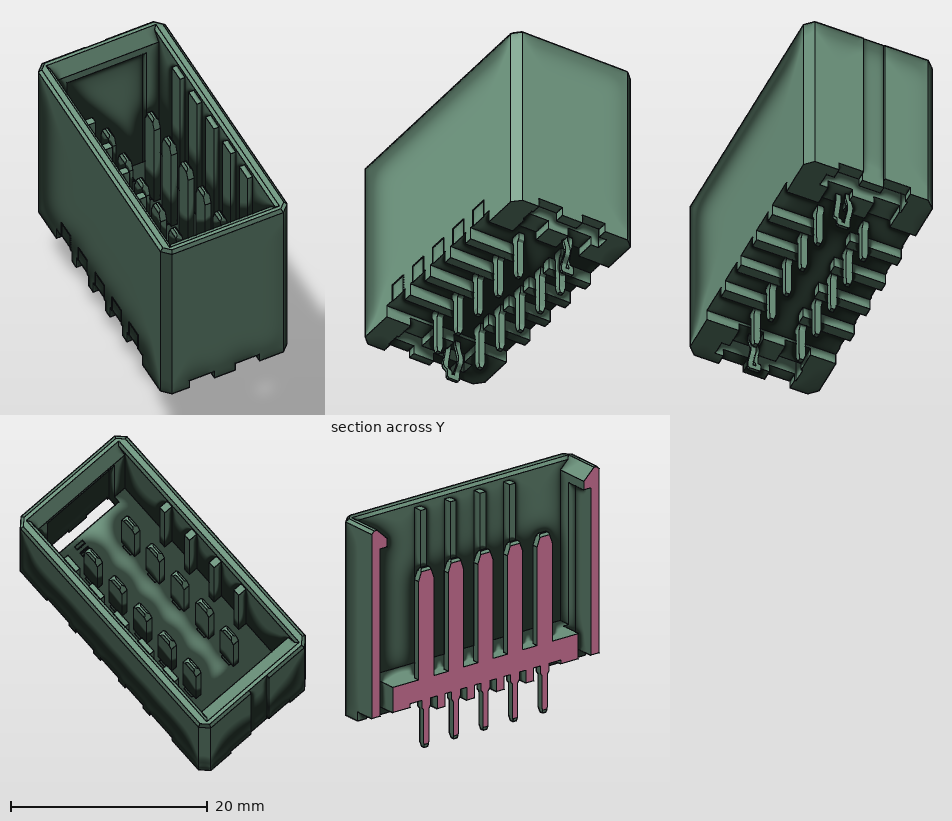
import cadquery as cq

LENGTH = 29.25
WIDTH = 14.45
HEIGHT = 21.55
CORNER_CHAMFER = 0.88
RIM_CHAMFER = 0.32

CAVITY_LENGTH = 25.2
CAVITY_WIDTH = 11.87
FLOOR_TOP = 3.8
MOUTH_LENGTH = 27.8
MOUTH_WIDTH = 12.51
END_TAPER_DEPTH = 1.23
SIDE_TAPER_DEPTH = 0.32

END_SLOT_WIDTH = 9.05
END_SLOT_INNER_X = 11.93
END_SLOT_OUTER_X = 13.48
END_SLOT_TOP = 19.35

GROOVE_Y_MIN = -1.52
GROOVE_Y_MAX = 0.88
GROOVE_DEPTH = RIM_CHAMFER

PITCH = 3.8
CONTACT_COUNT = 5
CONTACT_XS = [PITCH * (i - (CONTACT_COUNT - 1) / 2) for i in range(CONTACT_COUNT)]
GAP_XS = [x + PITCH / 2 for x in CONTACT_XS[:-1]]
ROW_YS = (-2.35, 2.72)

RELIEF_HEIGHT = 1.4
RELIEF_LENGTH = 19.3
FOOT_LENGTH = 1.02
FOOT_GAP_Y_MIN = -1.45
FOOT_GAP_Y_MAX = 2.22
END_NOTCH_HEIGHT = 1.0
END_NOTCH_Y_MIN = -4.35
END_NOTCH_Y_MAX = 3.63

PAD_LENGTH = 2.05
PAD_TOP = 3.4
PAD_DEPTH = 0.1

RIB_TOP = 20.82
BACK_RIB_LENGTH = 1.85
BACK_RIB_DEPTH = 0.58
FRONT_RIB_LENGTH = 0.75
FRONT_RIB_DEPTH = 1.0

BLADE_WIDTH = 2.02
BLADE_THICKNESS = 0.7
BLADE_TOP = 15.85
BLADE_TAPER_X = 0.47
BLADE_TAPER_HEIGHT = 1.25
BLADE_TIP_RADIUS = 0.23
BLADE_FACE_CHAMFER_Y = 0.23
BLADE_FACE_CHAMFER_HEIGHT = 0.35
TAIL_THICKNESS = 0.7
TAIL_WIDTH = 0.73
SHOULDER_WIDTH = 1.2
SHOULDER_BOTTOM = 0.65
SHOULDER_TAPER_END = 0.32
SHOULDER_RADIUS = 0.3
TIP_START = -3.27
TAIL_BOTTOM = -3.85
TIP_SIZE = 0.45
WELL_LENGTH = 1.2
WELL_WIDTH = 1.15
WELL_DEPTH = 0.15

CLIP_X = 10.8
CLIP_Y_MIN = 0.73
CLIP_Y_MAX = 2.15
CLIP_Y_MIDDLE = (CLIP_Y_MIN + CLIP_Y_MAX) / 2
CLIP_SLIT = 0.3
CLIP_SLIT_BOTTOM = -3.22
CLIP_FOOT_CHAMFER = 0.18
CLIP_STEM_THICKNESS = 0.3
CLIP_LEG_INNER_X = 0.05
CLIP_LEG_OUTER_X = 0.35
CLIP_BOW_INNER_X = 0.7
CLIP_BOW_OUTER_X = 1.02
CLIP_BOW_Z = -1.78
CLIP_BOW_START = 0.3
CLIP_STEM_TOP_INNER = -2.87
CLIP_STEM_TOP_OUTER = -2.95
BOW_INNER_RADIUS = 0.95
BOW_OUTER_RADIUS = BOW_INNER_RADIUS + CLIP_STEM_THICKNESS
END_BEND_INNER_RADIUS = 0.65
END_BEND_OUTER_RADIUS = END_BEND_INNER_RADIUS + CLIP_STEM_THICKNESS
TANG_Y_MIN = 0.88
TANG_Y_MAX = 1.93
TANG_OUTER_X = (-0.58, -0.15)
TANG_INNER_X = (0.23, 0.8)
INNER_TANG_END_X = 0.6
TANG_CLEARANCE = 0.102
TANG_SLOT_DEPTH = 0.58
TANG_DROP = 0.15


def block(x0, x1, y0, y1, z0, z1):
    """Box given by its limits along each axis."""
    return cq.Workplane("XY").box(x1 - x0, y1 - y0, z1 - z0, centered=False).translate((x0, y0, z0))


def prism_along_y(points, y0, y1):
    """Extrude an outline of (x, z) points from y0 to y1."""
    return cq.Workplane("XZ", origin=(0, y0, 0)).polyline(points).close().extrude(y0 - y1)


def prism_along_x(points, x0, x1):
    """Extrude an outline of (y, z) points from x0 to x1."""
    return cq.Workplane("YZ", origin=(x0, 0, 0)).polyline(points).close().extrude(x1 - x0)


def mirrored_outline(right_side):
    """Close a half outline by reflecting it about the vertical axis."""
    return right_side + [(-u, z) for u, z in reversed(right_side)]


def funnel_outline(mouth, bore, taper_depth):
    """Straight bore that widens to the mouth over the taper depth."""
    taper_start = HEIGHT - taper_depth
    return mirrored_outline([
        (bore / 2, FLOOR_TOP),
        (bore / 2, taper_start),
        (mouth / 2, HEIGHT),
    ])


def housing_shell():
    """Chamfered block with the cavity and the end groove."""
    shell = cq.Workplane("XY").box(LENGTH, WIDTH, HEIGHT, centered=(True, True, False))
    shell = shell.edges("|Z").chamfer(CORNER_CHAMFER)
    shell = shell.faces(">Z").chamfer(RIM_CHAMFER)
    end_profile = funnel_outline(MOUTH_LENGTH, CAVITY_LENGTH, END_TAPER_DEPTH)
    side_profile = funnel_outline(MOUTH_WIDTH, CAVITY_WIDTH, SIDE_TAPER_DEPTH)
    cavity = prism_along_y(end_profile, -WIDTH / 2, WIDTH / 2)
    cavity = cavity.intersect(prism_along_x(side_profile, -LENGTH / 2, LENGTH / 2))
    shell = shell.cut(cavity)
    groove = block(-LENGTH / 2, -LENGTH / 2 + GROOVE_DEPTH, GROOVE_Y_MIN, GROOVE_Y_MAX, 0, HEIGHT)
    return shell.cut(groove)


def end_slots():
    """Pair of slots, one at each end, from the underside up into the end walls."""
    half = END_SLOT_WIDTH / 2
    slot = block(END_SLOT_INNER_X, END_SLOT_OUTER_X, -half, half, 0, END_SLOT_TOP)
    return slot.union(slot.mirror("YZ"))


def underside_relief():
    """Open channel between the end blocks, less the feet, plus the notches under the ends."""
    relief = block(-RELIEF_LENGTH / 2, RELIEF_LENGTH / 2, -WIDTH / 2, WIDTH / 2, 0, RELIEF_HEIGHT)
    for x in GAP_XS:
        x0 = x - FOOT_LENGTH / 2
        x1 = x + FOOT_LENGTH / 2
        relief = relief.cut(block(x0, x1, -WIDTH / 2, FOOT_GAP_Y_MIN, 0, RELIEF_HEIGHT))
        relief = relief.cut(block(x0, x1, FOOT_GAP_Y_MAX, WIDTH / 2, 0, RELIEF_HEIGHT))
    for y0, y1 in ((END_NOTCH_Y_MIN, GROOVE_Y_MIN), (GROOVE_Y_MAX, END_NOTCH_Y_MAX)):
        for x0, x1 in ((-LENGTH / 2, -RELIEF_LENGTH / 2), (RELIEF_LENGTH / 2, LENGTH / 2)):
            relief = relief.union(block(x0, x1, y0, y1, 0, END_NOTCH_HEIGHT))
    return relief


def number_pad(x):
    """Shallow recess in the front wall below which a contact tail emerges."""
    front = -WIDTH / 2
    half = PAD_LENGTH / 2
    return block(x - half, x + half, front, front + PAD_DEPTH, RELIEF_HEIGHT, PAD_TOP)


def back_rib(x):
    """Wide rib on the back wall of the cavity."""
    wall = CAVITY_WIDTH / 2
    half = BACK_RIB_LENGTH / 2
    return block(x - half, x + half, wall - BACK_RIB_DEPTH, wall, FLOOR_TOP, RIB_TOP)


def front_rib(x):
    """Narrow rib on the front wall of the cavity."""
    wall = -CAVITY_WIDTH / 2
    half = FRONT_RIB_LENGTH / 2
    return block(x - half, x + half, wall, wall + FRONT_RIB_DEPTH, FLOOR_TOP, RIB_TOP)


def round_edges(prism, corners, y_middle, radius):
    """Fillet the Y-parallel edges at the given (x, z) corners of a prism centred on y_middle."""
    for x, z in corners:
        prism = prism.edges(cq.NearestToPointSelector((x, y_middle, z))).fillet(radius)
    return prism


def contact():
    """Blade above the floor and soldering tail below it, centred on x = y = 0."""
    root = FLOOR_TOP - WELL_DEPTH
    blade_top_half = BLADE_WIDTH / 2 - BLADE_TAPER_X
    blade_front = mirrored_outline([
        (BLADE_WIDTH / 2, root),
        (BLADE_WIDTH / 2, BLADE_TOP - BLADE_TAPER_HEIGHT),
        (blade_top_half, BLADE_TOP),
    ])
    half_blade = BLADE_THICKNESS / 2
    blade_side = mirrored_outline([
        (half_blade, root),
        (half_blade, BLADE_TOP - BLADE_FACE_CHAMFER_HEIGHT),
        (half_blade - BLADE_FACE_CHAMFER_Y, BLADE_TOP),
    ])
    blade = prism_along_y(blade_front, -half_blade, half_blade)
    tip_corners = [(side * blade_top_half, BLADE_TOP) for side in (-1, 1)]
    blade = round_edges(blade, tip_corners, 0, BLADE_TIP_RADIUS)
    blade = blade.intersect(prism_along_x(blade_side, -BLADE_WIDTH / 2, BLADE_WIDTH / 2))

    tail_front = mirrored_outline([
        (TIP_SIZE / 2, TAIL_BOTTOM),
        (TAIL_WIDTH / 2, TIP_START),
        (TAIL_WIDTH / 2, SHOULDER_TAPER_END),
        (SHOULDER_WIDTH / 2, SHOULDER_BOTTOM),
        (SHOULDER_WIDTH / 2, root),
    ])
    half_tail = TAIL_THICKNESS / 2
    tail_side = mirrored_outline([
        (TIP_SIZE / 2, TAIL_BOTTOM),
        (half_tail, TIP_START),
        (half_tail, root),
    ])
    tail = prism_along_y(tail_front, -half_tail, half_tail)
    for side in (-1, 1):
        shoulder_corners = [
            (side * TAIL_WIDTH / 2, SHOULDER_TAPER_END),
            (side * SHOULDER_WIDTH / 2, SHOULDER_BOTTOM),
        ]
        tail = round_edges(tail, shoulder_corners, 0, SHOULDER_RADIUS)
    tail = tail.intersect(prism_along_x(tail_side, -SHOULDER_WIDTH / 2, SHOULDER_WIDTH / 2))
    return blade.union(tail)


def contact_well(x, y):
    """Shallow pocket in the floor around a contact."""
    half_x = WELL_LENGTH / 2
    half_y = WELL_WIDTH / 2
    return block(x - half_x, x + half_x, y - half_y, y + half_y, FLOOR_TOP - WELL_DEPTH, FLOOR_TOP)


def clip_leg():
    """Right half of the bow: straight top, outward bow and straight stem."""
    half_stem = CLIP_STEM_THICKNESS / 2
    inner_start = (CLIP_LEG_INNER_X, CLIP_BOW_START)
    inner_bow = (CLIP_BOW_INNER_X, CLIP_BOW_Z)
    inner_end = (-half_stem, CLIP_STEM_TOP_INNER)
    outer_end = (half_stem, CLIP_STEM_TOP_OUTER)
    outer_bow = (CLIP_BOW_OUTER_X, CLIP_BOW_Z)
    outer_start = (CLIP_LEG_OUTER_X, CLIP_BOW_START)
    outline = [
        (CLIP_LEG_INNER_X, RELIEF_HEIGHT),
        inner_start,
        inner_bow,
        inner_end,
        (-half_stem, TAIL_BOTTOM),
        (half_stem, TAIL_BOTTOM),
        outer_end,
        outer_bow,
        outer_start,
        (CLIP_LEG_OUTER_X, RELIEF_HEIGHT),
    ]
    y0 = CLIP_Y_MIDDLE + CLIP_SLIT / 2
    leg = prism_along_y(outline, y0, CLIP_Y_MAX)
    y_middle = (y0 + CLIP_Y_MAX) / 2
    leg = round_edges(leg, [inner_bow], y_middle, BOW_INNER_RADIUS)
    leg = round_edges(leg, [outer_bow], y_middle, BOW_OUTER_RADIUS)
    leg = round_edges(leg, [inner_start, outer_end], y_middle, END_BEND_INNER_RADIUS)
    return round_edges(leg, [outer_start, inner_end], y_middle, END_BEND_OUTER_RADIUS)


def clip():
    """Sprung board clip: two legs side by side in Y, bowed opposite ways and joined at the foot."""
    back_leg = clip_leg()
    front_leg = back_leg.rotate((0, CLIP_Y_MIDDLE, 0), (0, CLIP_Y_MIDDLE, 1), 180)
    half_stem = CLIP_STEM_THICKNESS / 2
    foot = block(-half_stem, half_stem, CLIP_Y_MIN, CLIP_Y_MAX, TAIL_BOTTOM, CLIP_SLIT_BOTTOM)
    joined = back_leg.union(front_leg).union(foot)
    return joined.faces("<Z").edges("|X").chamfer(CLIP_FOOT_CHAMFER)


def tang_slots():
    """Pair of slots in the floor above a clip centred on x = 0."""
    slot_bottom = FLOOR_TOP - TANG_SLOT_DEPTH
    outer = block(TANG_OUTER_X[0], TANG_OUTER_X[1], TANG_Y_MIN, TANG_Y_MAX, slot_bottom, FLOOR_TOP)
    inner = block(TANG_INNER_X[0], TANG_INNER_X[1], TANG_Y_MIN, TANG_Y_MAX, slot_bottom, FLOOR_TOP)
    return outer.union(inner)


def tangs():
    """Upper ends of the clip, sunk in their slots and narrower than them."""
    slot_bottom = FLOOR_TOP - TANG_SLOT_DEPTH
    tang_top = FLOOR_TOP - TANG_DROP
    outer_end = TANG_OUTER_X[1] - TANG_CLEARANCE
    inner_start = TANG_INNER_X[0] + TANG_CLEARANCE
    outer = block(TANG_OUTER_X[0], outer_end, TANG_Y_MIN, TANG_Y_MAX, slot_bottom, tang_top)
    inner = block(inner_start, INNER_TANG_END_X, TANG_Y_MIN, TANG_Y_MAX, slot_bottom, tang_top)
    return outer.union(inner)


single_contact = contact()
result = housing_shell().cut(end_slots()).cut(underside_relief())
for contact_x in CONTACT_XS:
    result = result.cut(number_pad(contact_x)).union(back_rib(contact_x))
    for row_y in ROW_YS:
        result = result.cut(contact_well(contact_x, row_y))
        result = result.union(single_contact.translate((contact_x, row_y, 0)))
for gap_x in GAP_XS:
    result = result.union(front_rib(gap_x))

left_slots = tang_slots().translate((-CLIP_X, 0, 0))
left_clip = clip().union(tangs()).translate((-CLIP_X, 0, 0))
result = result.cut(left_slots).cut(left_slots.mirror("YZ"))
result = result.union(left_clip).union(left_clip.mirror("YZ"))